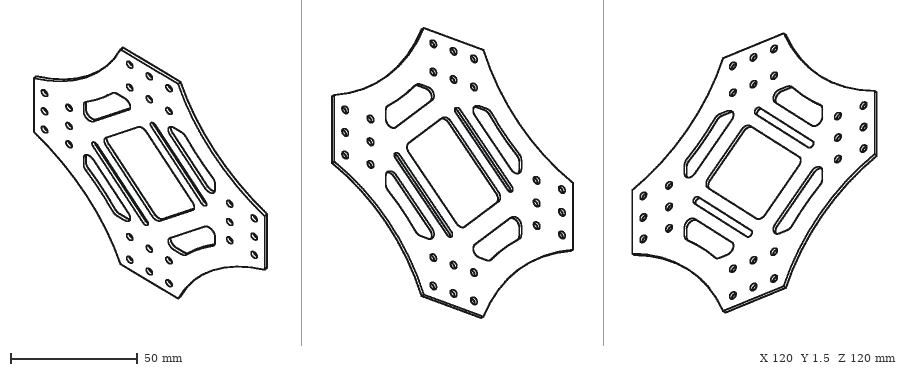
import cadquery as cq
import math

size = 120.0
thickness = 1.5
half_size = size / 2
arm_width = 30.0
edge_arc_radius = 80.0

hole_diameter = 3.1
hole_pitch = 10.2
hole_row_distances = (41.8, 54.5)

opening_length = 40.0
opening_width = 29.8
corner_radius = 3.0

slot_length = 40.0
slot_width = 3.0
slot_distance = 21.5

window_inner_distance = 28.1
window_limit = 34.1
window_rim = 10.2

arm_half = arm_width / 2
half_chord = (half_size - arm_half) / math.sqrt(2)
chord_distance = (half_size + arm_half) / math.sqrt(2)
edge_arc_centre = chord_distance + math.sqrt(edge_arc_radius**2 - half_chord**2)
edge_arc_middle = edge_arc_centre - edge_arc_radius

diagonal_angles = (45, 135, 225, 315)
arm_angles = (0, 90, 180, 270)
slot_angles = (45, 225)


def turned(point, angle):
    """Turn a point (x, z) about the plate centre by an angle in degrees."""
    x, z = point
    cosine = math.cos(math.radians(angle))
    sine = math.sin(math.radians(angle))
    return (x * cosine - z * sine, x * sine + z * cosine)


def extruded(sketch):
    """Extrude a closed outline through the thickness, centred on Y = 0."""
    return sketch.extrude(thickness / 2, both=True)


def plate_blank():
    """Four flat arm ends joined by concave arcs."""
    outline = cq.Workplane("XZ").moveTo(half_size, -arm_half)
    for angle in arm_angles:
        outline = outline.lineTo(*turned((half_size, arm_half), angle))
        outline = outline.threePointArc(
            turned((edge_arc_middle, 0), angle + 45),
            turned((arm_half, half_size), angle),
        )
    return extruded(outline.close())


def bolt_holes():
    points = [
        turned((distance, row * hole_pitch), angle)
        for angle in arm_angles
        for distance in hole_row_distances
        for row in (-1, 0, 1)
    ]
    return extruded(cq.Workplane("XZ").pushPoints(points).circle(hole_diameter / 2))


def centre_opening():
    """Rounded rectangle whose long sides face the narrow slots."""
    block = extruded(cq.Workplane("XZ").rect(opening_width, opening_length))
    return block.edges("|Y").fillet(corner_radius).rotate((0, 0, 0), (0, 1, 0), -slot_angles[0])


def narrow_slot(angle):
    centre = turned((slot_distance, 0), angle)
    return extruded(cq.Workplane("XZ").center(*centre).slot2D(slot_length, slot_width, angle + 90))


def window(angle):
    """Window with a straight inner side and an outer side concentric with the plate edge."""
    arc_radius = edge_arc_radius + window_rim
    arc_middle = edge_arc_middle - window_rim
    centre = edge_arc_centre / math.sqrt(2)
    arc_end = centre - math.sqrt(arc_radius**2 - (centre - window_limit)**2)
    inner_end = window_inner_distance * math.sqrt(2) - window_limit

    turn = angle - 45
    outline = (
        cq.Workplane("XZ")
        .moveTo(*turned((window_limit, inner_end), turn))
        .lineTo(*turned((window_limit, arc_end), turn))
        .threePointArc(
            turned((arc_middle, 0), angle),
            turned((arc_end, window_limit), turn),
        )
        .lineTo(*turned((inner_end, window_limit), turn))
        .close()
    )
    return extruded(outline).edges("|Y").fillet(corner_radius)


result = plate_blank().cut(bolt_holes()).cut(centre_opening())
for slot_angle in slot_angles:
    result = result.cut(narrow_slot(slot_angle))
for window_angle in diagonal_angles:
    result = result.cut(window(window_angle))